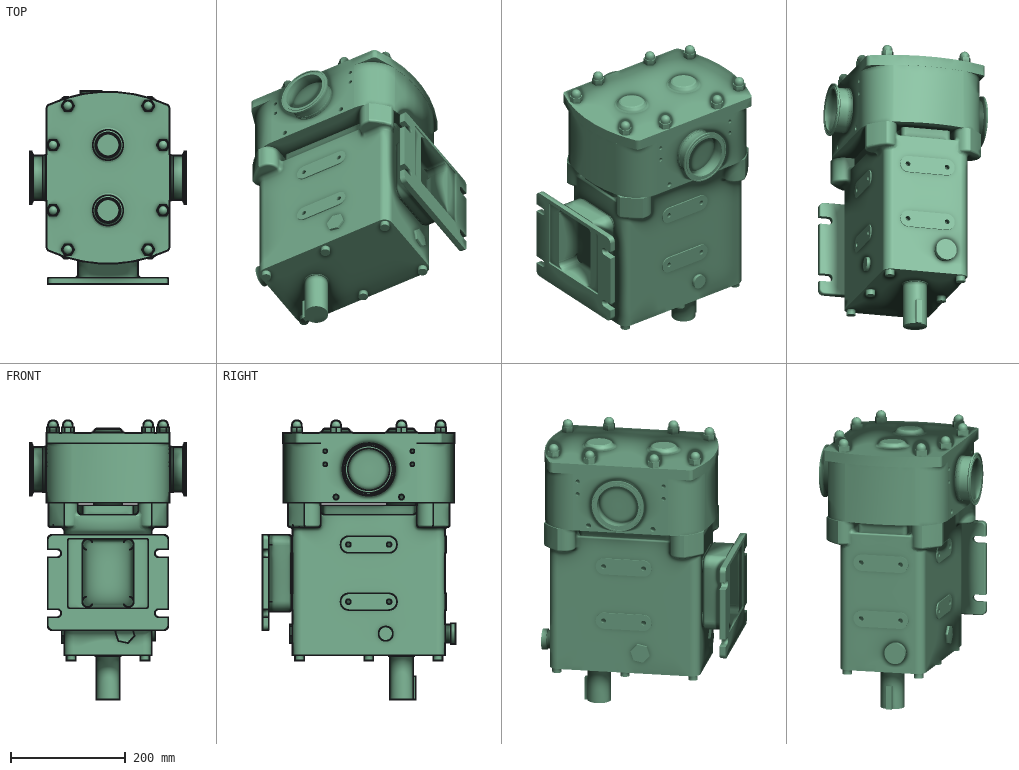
import cadquery as cq
import math

case_half_x = 76.5
case_half_y = 133.2
case_corner_radius = 15.5
case_height = 245.5
case_top_fillet = 3.0
shaft_offset = 57.0

head_bottom = 266.0
head_top = 369.5
cover_top = 387.8
head_half_x = 107.2
head_half_y = 149.5
cover_overhang = 0.5
end_arc_radius = 246.0
head_corner_radius = 59.0
cover_corner_radius = 8.0

land_top = 262.0
land_half_x = 72.0
land_half_y = 129.0
land_edge_fillet = 7.0
post_clearance_radius = 35.0

post_outer_x = 104.0
post_outer_y = 141.0
post_inner_x = 52.5
post_inner_y = 84.0
post_bottom = 223.5
post_flat_end_x = 76.0
post_flat_end_y = 112.0
post_corner_bulge = 1.5
post_side_radius = 20.5
post_bottom_fillet = 4.0
post_root_fillet = 6.5

pad_heights = (93.6, 193.2)
pad_length = 98.5
pad_width = 29.0
pad_thickness = 2.0
pad_hole_spacing = 71.0
pad_hole_diameter = 8.5
pad_hole_depth = 12.0

plug_height = 38.0
plug_offset = 29.5
plug_diameter = 34.5
plug_thickness = 4.5
plug_tilt = 12.0
sight_glass_thickness = 6.0
sight_glass_diameter = 25.0
cap_reach = 18.3
cap_flange_thickness = 9.0
cap_diameter = 37.0
cap_neck_diameter = 32.0

screw_x = 64.2
screw_y = 120.4
screw_diameter = 16.5
screw_length = 9.0

shaft_diameter = 41.5
shaft_end = -77.2
shaft_collar_diameter = 45.0
shaft_collar_height = 1.5
spacer_diameter = 50.5
key_width = 10.0
key_length = 41.0
key_rise = 4.4

port_height = 324.2
port_reach = 136.0
stub_reach = 113.5
stub_diameter = 79.2
stub_root_diameter = 80.2
stub_root_width = 2.0
ferrule_flange_diameter = 92.0
ferrule_rim_width = 2.8
ferrule_taper_width = 3.0
ferrule_tube_diameter = 78.2
ferrule_bore_diameter = 73.0
gasket_groove_radius = 42.5
gasket_groove_width = 3.0
gasket_groove_depth = 1.5

upper_hole_y = 76.0
upper_hole_heights = (333.0, 356.0)
upper_hole_diameter = 7.0
lower_hole_height = 276.0
lower_hole_diameter = 9.0
side_hole_depth = 12.0

nut_positions = [(70.0, 125.3), (95.8, shaft_offset)]
nut_flats = 19.0
nut_hex_height = 9.8
nut_dome_radius = 8.8
nut_total_height = 22.0

bump_profile = [(30.5, 0.0), (26.5, 1.2), (22.0, 6.5), (19.5, 7.7)]

foot_back = -(case_half_y + pad_thickness)
foot_front = -185.5
foot_plate_thickness = 11.3
foot_plate_half_x = 105.3
foot_plate_bottom = 43.7
foot_top = 210.5
foot_plate_corner = 9.0
foot_plate_fillet = 2.5
foot_box_half_x = 52.7
foot_box_bottom = 75.8
foot_box_corner = 18.0
foot_back_fillet = 5.0
foot_root_radius = 5.0
foot_root_overlap = 2.0
foot_slot_heights = (73.6, 178.0)
foot_slot_width = 13.6
foot_slot_depth = 23.5
foot_recess_half_x = 70.0
foot_recess_bottom = 82.5
foot_recess_top = 203.5
foot_recess_depth = 3.0
foot_recess_corner = 3.0
foot_recess_fillet = 1.9
foot_pocket_half_x = 44.8
foot_floor_thickness = 8.0
foot_pocket_corner = 14.0
foot_pocket_floor_fillet = 6.5
spotface_diameter = 18.5


def block(x0, x1, y0, y1, z0, z1):
    """Box between two opposite corners."""
    return cq.Workplane("XY").box(x1 - x0, y1 - y0, z1 - z0, centered=False).translate((x0, y0, z0))


def on_wall(shape, quarter):
    """Turn a shape made for the -Y wall (y = 0 is the wall) onto one of the four walls."""
    distance = case_half_y if quarter % 2 == 0 else case_half_x
    return shape.translate((0, -distance, 0)).rotate((0, 0, 0), (0, 0, 1), 90 * quarter)


def wall_plane():
    """Sketch plane on the -Y wall, with local y up and extrusion pointing outwards."""
    return cq.Workplane("XZ")


def corners(shape):
    """The shape mirrored into all four corners."""
    mirrored = shape.mirror("YZ")
    return [shape, mirrored, shape.mirror("XZ"), mirrored.mirror("XZ")]


def corner_post():
    """Rounded post overhanging the +X +Y corner of the case."""
    arc_lag = post_side_radius * (1 - math.sqrt(0.5))
    bulge = post_corner_bulge * math.sqrt(0.5)
    corner_mid_x = (post_outer_x + post_flat_end_x) / 2 + bulge
    corner_mid_y = (post_outer_y + post_flat_end_y) / 2 + bulge
    post = (
        cq.Workplane("XY").workplane(offset=post_bottom)
        .moveTo(post_inner_x, post_inner_y)
        .lineTo(post_outer_x - post_side_radius, post_inner_y)
        .threePointArc(
            (post_outer_x - arc_lag, post_inner_y + arc_lag),
            (post_outer_x, post_inner_y + post_side_radius),
        )
        .lineTo(post_outer_x, post_flat_end_y)
        .threePointArc((corner_mid_x, corner_mid_y), (post_flat_end_x, post_outer_y))
        .lineTo(post_inner_x + post_side_radius, post_outer_y)
        .threePointArc(
            (post_inner_x + arc_lag, post_outer_y - arc_lag),
            (post_inner_x, post_outer_y - post_side_radius),
        )
        .close()
        .extrude(head_bottom - post_bottom)
    )
    return post.faces("<Z").edges().fillet(post_bottom_fillet)


def land():
    """Raised land on top of the case, scooped out around the posts."""
    height = land_top - case_height
    base = cq.Workplane("XY").workplane(offset=case_height)
    plate = base.rect(2 * land_half_x, 2 * land_half_y).extrude(height)
    post_x = (post_inner_x + post_outer_x) / 2
    post_y = (post_inner_y + post_outer_y) / 2
    scoops = (
        cq.Workplane("XY").workplane(offset=case_height)
        .rect(2 * post_x, 2 * post_y, forConstruction=True).vertices()
        .circle(post_clearance_radius).extrude(height)
    )
    return plate.cut(scoops).edges("|Z").fillet(land_edge_fillet)


def post_root_edges():
    """Selector of the edges where the posts run into the case walls, leaving out the flat case top."""
    slack = 0.1
    roots = None
    for sx in (-1, 1):
        for sy in (-1, 1):
            inner = (sx * (post_inner_x - slack), sy * (post_inner_y - slack))
            outer = (sx * (case_half_x + slack), sy * (case_half_y + slack))
            upright = cq.selectors.BoxSelector(
                (*inner, post_bottom - slack), (*outer, case_height + slack), boundingbox=True
            )
            flat = cq.selectors.BoxSelector(
                (*inner, case_height - slack), (*outer, case_height + slack), boundingbox=True
            )
            corner = upright - flat
            roots = corner if roots is None else roots + corner
    return roots


def case_shell():
    """Case block with posts and land."""
    shell = cq.Workplane("XY").rect(2 * case_half_x, 2 * case_half_y).extrude(case_height)
    shell = shell.edges("|Z").fillet(case_corner_radius)
    shell = shell.faces(">Z").edges().fillet(case_top_fillet)
    for post in corners(corner_post()):
        shell = shell.union(post)
    shell = shell.edges(post_root_edges()).fillet(post_root_fillet)
    return shell.union(land())


def wall_pads():
    """Pair of obround pads for one wall."""
    centres = [(0, z) for z in pad_heights]
    return wall_plane().pushPoints(centres).slot2D(pad_length, pad_width).extrude(pad_thickness)


def wall_pad_holes():
    """Bolt holes of one wall's pads."""
    centres = [(side * pad_hole_spacing / 2, z) for z in pad_heights for side in (-1, 1)]
    holes = wall_plane().workplane(offset=pad_thickness - pad_hole_depth).pushPoints(centres)
    return holes.circle(pad_hole_diameter / 2).extrude(pad_hole_depth)


def wall_plug():
    """Hexagonal plug for one wall."""
    plug = wall_plane().polygon(6, plug_diameter).extrude(plug_thickness)
    return plug.rotate((0, 0, 0), (0, 1, 0), plug_tilt).translate((plug_offset, 0, plug_height))


def sight_glass():
    """Round sight glass for one wall."""
    glass = wall_plane().circle(sight_glass_diameter / 2).extrude(sight_glass_thickness)
    return glass.translate((plug_offset, 0, plug_height))


def filler_cap():
    """Round cap on a narrower neck."""
    neck = wall_plane().circle(cap_neck_diameter / 2).extrude(cap_reach)
    flange = wall_plane().workplane(offset=cap_reach - cap_flange_thickness)
    flange = flange.circle(cap_diameter / 2).extrude(cap_flange_thickness)
    return neck.union(flange).translate((plug_offset, 0, plug_height))


def screws():
    """Screw heads under the case."""
    centres = [(sx * screw_x, row * screw_y) for sx in (-1, 1) for row in (-1, 0, 1)]
    return cq.Workplane("XY").pushPoints(centres).circle(screw_diameter / 2).extrude(-screw_length)


def drive_shaft():
    """Drive shaft with collar and key below the case, and its spacer between land and head."""
    base = cq.Workplane("XY").center(0, shaft_offset)
    shaft = base.circle(shaft_diameter / 2).extrude(shaft_end)
    shaft = shaft.union(base.circle(shaft_collar_diameter / 2).extrude(-shaft_collar_height))
    key_top = shaft_offset + shaft_diameter / 2 + key_rise
    shaft = shaft.union(block(
        -key_width / 2, key_width / 2, shaft_offset, key_top, shaft_end, shaft_end + key_length
    ))
    spacer = base.workplane(offset=land_top).circle(spacer_diameter / 2).extrude(head_bottom - land_top)
    return shaft, spacer


def make_gear_case():
    """Gear case with pads, wall fittings, screws and drive shaft."""
    case = case_shell()
    fittings = [wall_plug(), sight_glass(), filler_cap(), wall_plug()]
    for quarter, fitting in enumerate(fittings):
        case = case.union(on_wall(wall_pads(), quarter)).union(on_wall(fitting, quarter))
    for quarter in range(len(fittings)):
        case = case.cut(on_wall(wall_pad_holes(), quarter))
    case = case.union(screws())
    for piece in drive_shaft():
        case = case.union(piece)
    return case


def head_outline(z0, z1, half_y, corner_radius):
    """Flat-sided slab with bowed ends and rounded corners."""
    corner_y = half_y - end_arc_radius + math.sqrt(end_arc_radius**2 - head_half_x**2)
    slab = (
        cq.Workplane("XY").workplane(offset=z0)
        .moveTo(head_half_x, -corner_y)
        .lineTo(head_half_x, corner_y)
        .threePointArc((0, half_y), (-head_half_x, corner_y))
        .lineTo(-head_half_x, -corner_y)
        .threePointArc((0, -half_y), (head_half_x, -corner_y))
        .close()
        .extrude(z1 - z0)
    )
    return slab.edges("|Z").fillet(corner_radius)


def acorn_nut():
    """Hexagonal nut with a domed cap, standing on z = 0."""
    dome_centre = nut_total_height - nut_dome_radius
    nut = cq.Workplane("XY").polygon(6, nut_flats / math.cos(math.pi / 6)).extrude(nut_hex_height)
    nut = nut.union(cq.Workplane("XY").circle(nut_dome_radius).extrude(dome_centre))
    return nut.union(cq.Workplane("XY").sphere(nut_dome_radius).translate((0, 0, dome_centre)))


def cover_bump():
    """Rounded button on the cover, standing on z = 0."""
    top = bump_profile[-1][1]
    bump = cq.Workplane("XZ").polyline(bump_profile + [(0, top), (0, 0)]).close()
    return bump.revolve(360, (0, 0, 0), (0, 1, 0))


def port_stub():
    """Round stub for the +X ferrule, with a slightly wider root on the head."""
    plane = cq.Workplane("YZ").center(0, port_height)
    stub = plane.circle(stub_diameter / 2).extrude(stub_reach)
    return stub.union(plane.circle(stub_root_diameter / 2).extrude(head_half_x + stub_root_width))


def side_holes():
    """Small blind holes in the +X side of the head."""
    plane = cq.Workplane("YZ").workplane(offset=head_half_x - side_hole_depth)
    upper = [(side * upper_hole_y, z) for z in upper_hole_heights for side in (-1, 1)]
    lower = [(side * shaft_offset, lower_hole_height) for side in (-1, 1)]
    holes = plane.pushPoints(upper).circle(upper_hole_diameter / 2).extrude(side_hole_depth)
    return holes.union(plane.pushPoints(lower).circle(lower_hole_diameter / 2).extrude(side_hole_depth))


def make_pump_head():
    """Pump head with cover, port stubs, nuts and bumps."""
    head = head_outline(head_bottom, head_top, head_half_y, head_corner_radius)
    cover_half_y = head_half_y + cover_overhang
    head = head.union(head_outline(head_top, cover_top, cover_half_y, cover_corner_radius))
    head = head.union(port_stub()).union(port_stub().mirror("YZ"))
    head = head.cut(side_holes()).cut(side_holes().mirror("YZ"))
    for x, y in nut_positions:
        for nut in corners(acorn_nut().translate((x, y, cover_top))):
            head = head.union(nut)
    for side in (-1, 1):
        head = head.union(cover_bump().translate((0, side * shaft_offset, cover_top)))
    return head


def foot_slots():
    """Open-ended bolt slots in the +X edge of the plate."""
    half = foot_slot_width / 2
    round_x = foot_plate_half_x - foot_slot_depth + half
    back = foot_front + foot_plate_thickness
    slots = cq.Workplane("XY")
    for z in foot_slot_heights:
        slot = block(round_x, foot_plate_half_x, foot_front, back, z - half, z + half)
        end = cq.Workplane("XZ").workplane(offset=-back).center(round_x, z)
        slot = slot.union(end.circle(half).extrude(foot_plate_thickness))
        slots = slots.add(slot)
    return slots.combine()


def foot_root():
    """Concave flare between the +X wall of the foot box and the plate."""
    plate_back = foot_front + foot_plate_thickness
    lag = foot_root_radius * (1 - math.sqrt(0.5))
    wall = foot_box_half_x
    bottom = foot_box_bottom + foot_box_corner
    return (
        cq.Workplane("XY").workplane(offset=bottom)
        .moveTo(wall - foot_root_overlap, plate_back - foot_root_overlap)
        .lineTo(wall + foot_root_radius, plate_back - foot_root_overlap)
        .lineTo(wall + foot_root_radius, plate_back)
        .threePointArc((wall + lag, plate_back + lag), (wall, plate_back + foot_root_radius))
        .lineTo(wall - foot_root_overlap, plate_back + foot_root_radius)
        .close()
        .extrude(foot_top - foot_box_corner - bottom)
    )


def make_foot():
    """Slotted foot plate with a hollow box reaching back to the pads."""
    plate_back = foot_front + foot_plate_thickness
    plate = block(
        -foot_plate_half_x, foot_plate_half_x, foot_front, plate_back, foot_plate_bottom, foot_top
    ).edges("|Y").fillet(foot_plate_corner)
    plate = plate.faces(">Y").edges().fillet(foot_plate_fillet)
    plate = plate.cut(foot_slots()).cut(foot_slots().mirror("YZ"))

    box = block(-foot_box_half_x, foot_box_half_x, plate_back, foot_back, foot_box_bottom, foot_top)
    box = box.edges("|Y").fillet(foot_box_corner)
    box = box.faces(">Y").edges().fillet(foot_back_fillet)

    recess = block(
        -foot_recess_half_x, foot_recess_half_x, foot_front, foot_front + foot_recess_depth,
        foot_recess_bottom, foot_recess_top
    ).edges("|Y").fillet(foot_recess_corner)
    recess = recess.faces(">Y").edges().fillet(foot_recess_fillet)

    pocket_floor = foot_back - foot_floor_thickness
    pocket = block(
        -foot_pocket_half_x, foot_pocket_half_x, foot_front, pocket_floor,
        foot_recess_bottom, foot_recess_top
    ).edges("|Y").fillet(foot_pocket_corner)
    pocket = pocket.faces(">Y").edges().fillet(foot_pocket_floor_fillet)

    centres = [(side * pad_hole_spacing / 2, z) for z in pad_heights for side in (-1, 1)]
    spotfaces = cq.Workplane("XZ").workplane(offset=-pocket_floor).pushPoints(centres)
    spotfaces = spotfaces.circle(spotface_diameter / 2).extrude(pocket_floor - foot_front)

    body = plate.union(box).union(foot_root()).union(foot_root().mirror("YZ"))
    return body.cut(recess).cut(pocket.union(spotfaces))


def make_ferrule(side):
    """Hollow clamp ferrule on the -X (side = -1) or +X (side = 1) stub."""
    bore = ferrule_bore_diameter / 2
    tube = ferrule_tube_diameter / 2
    flange = ferrule_flange_diameter / 2
    rim_back = port_reach - ferrule_rim_width
    groove_inner = gasket_groove_radius - gasket_groove_width / 2
    groove_outer = gasket_groove_radius + gasket_groove_width / 2
    groove_floor = port_reach - gasket_groove_depth
    profile = [
        (bore, stub_reach), (tube, stub_reach), (tube, rim_back - ferrule_taper_width),
        (flange, rim_back), (flange, port_reach),
        (groove_outer, port_reach), (groove_outer, groove_floor),
        (groove_inner, groove_floor), (groove_inner, port_reach), (bore, port_reach),
    ]
    ferrule = cq.Workplane("XY").polyline(profile).close().revolve(360, (0, 0, 0), (0, 1, 0))
    return ferrule.rotate((0, 0, 0), (0, 0, 1), -90 * side).translate((0, 0, port_height))


pump = make_gear_case().union(make_pump_head()).union(make_foot())
ferrules = [make_ferrule(side) for side in (-1, 1)]

result = cq.Compound.makeCompound([pump.val(), *[ferrule.val() for ferrule in ferrules]])